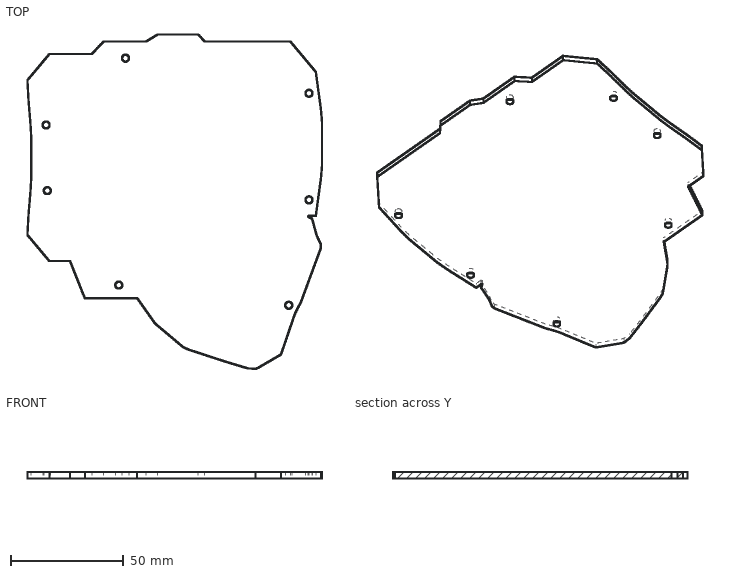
import cadquery as cq

WIDTH = 131.18
LENGTH = 148.8
THICKNESS = 3.0
HOLE_DIAMETER = 3.0

LEFT_X = -WIDTH / 2
RIGHT_X = WIDTH / 2
TOP_Y = LENGTH / 2
BOTTOM_Y = -LENGTH / 2

LEFT_MID_Y = 19.6
SHOULDER_HALF_HEIGHT = 46.1
LEFT_STATIONS = [
    (9.3, 1.7),
    (15.3, 1.35),
    (25.4, 0.5),
    (34.4, 0.0),
    (41.4, 5.9),
    (SHOULDER_HALF_HEIGHT, 9.8),
]

RIGHT_MID_Y = 25.7
RIGHT_STATIONS = [
    (9.1, 0.0),
    (15.1, 0.5),
    (32.0, 2.8),
]

UPPER_SHOULDER_Y = LEFT_MID_Y + SHOULDER_HALF_HEIGHT
LOWER_SHOULDER_Y = LEFT_MID_Y - SHOULDER_HALF_HEIGHT
UPPER_EDGE_Y = 71.3
LOWER_EDGE_Y = -43.0

UPPER_EDGE = [
    (-36.9, UPPER_SHOULDER_Y),
    (-31.6, UPPER_EDGE_Y),
    (-12.7, UPPER_EDGE_Y),
    (-7.6, TOP_Y),
    (10.4, TOP_Y),
    (13.3, UPPER_EDGE_Y),
    (51.4, UPPER_EDGE_Y),
]

NOTCH = [
    (59.8, RIGHT_MID_Y - RIGHT_STATIONS[-1][0]),
    (59.3, -6.7),
    (61.1, -7.5),
]

LOWER_RIGHT_FLANK = [
    (63.2, -15.1),
    (65.0, -18.9),
    (65.0, -20.7),
    (56.2, -44.6),
    (54.2, -48.4),
    (53.3, -50.4),
    (47.3, -68.0),
]

LOWER_EDGE = [
    (37.0, -74.0),
    (36.0, BOTTOM_Y),
    (32.5, -74.2),
    (21.9, -71.0),
    (6.3, -65.9),
    (3.8, -64.8),
    (-8.8, -54.2),
    (-16.7, LOWER_EDGE_Y),
    (-40.0, LOWER_EDGE_Y),
    (-41.0, -40.6),
    (-46.6, LOWER_SHOULDER_Y),
]

HOLE_CENTRES = [
    (-21.9, 63.8),
    (-57.2, 34.1),
    (-56.7, 4.9),
    (59.7, 48.2),
    (59.7, 0.8),
    (-24.9, -37.1),
    (50.7, -46.1),
]


def mirrored_side(edge_x, inward, mid_y, stations):
    """Points of a side mirrored about mid_y, from its top to its bottom."""
    upper = [(edge_x + inward * inset, mid_y + rise) for rise, inset in reversed(stations)]
    lower = [(edge_x + inward * inset, mid_y - drop) for drop, inset in stations]
    return upper + lower


def plate_outline():
    """Corner points of the plate, clockwise from the upper left shoulder."""
    left_side = mirrored_side(LEFT_X, 1, LEFT_MID_Y, LEFT_STATIONS)
    right_side = mirrored_side(RIGHT_X, -1, RIGHT_MID_Y, RIGHT_STATIONS)
    left_side_going_up = left_side[::-1]
    return UPPER_EDGE + right_side + NOTCH + LOWER_RIGHT_FLANK + LOWER_EDGE + left_side_going_up


def make_plate():
    return cq.Workplane("XY").polyline(plate_outline()).close().extrude(THICKNESS)


def drill_holes(plate):
    return plate.faces(">Z").workplane(origin=(0, 0, 0)).pushPoints(HOLE_CENTRES).hole(HOLE_DIAMETER)


result = drill_holes(make_plate())